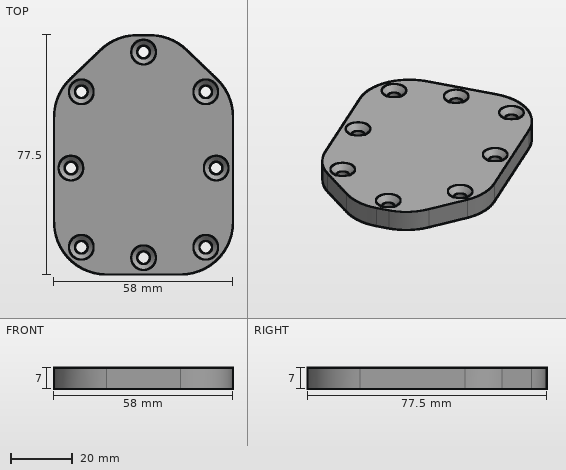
import cadquery as cq
import math

plate_thickness = 7.0
half_width = 29.0
bottom_y = -34.5
top_y = 43.05
corner_radius = 17.0

side_center_x = half_width - corner_radius
lower_center_y = bottom_y + corner_radius
upper_center_y = 16.55
top_center_x = 2.1
top_center_y = top_y - corner_radius

hole_diameter = 4.0
countersink_diameter = 8.0
countersink_angle = 90.0
edge_inset = 5.5

diagonal_offset = (corner_radius - edge_inset) * math.sin(math.radians(45.0))
corner_hole_x = side_center_x + diagonal_offset
lower_hole_y = lower_center_y - diagonal_offset
upper_hole_y = upper_center_y + diagonal_offset
side_hole_x = half_width - edge_inset


def point_on_rounding(center, angle):
    """Point on a rounding, at an angle in degrees counterclockwise from +X."""
    turn = math.radians(angle)
    return (
        center[0] + corner_radius * math.cos(turn),
        center[1] + corner_radius * math.sin(turn),
    )


def add_rounding(outline, center, start_angle, end_angle):
    """Run straight to the start of a rounding, then follow its arc."""
    middle_angle = (start_angle + end_angle) / 2
    return outline.lineTo(*point_on_rounding(center, start_angle)).threePointArc(
        point_on_rounding(center, middle_angle),
        point_on_rounding(center, end_angle),
    )


def make_plate():
    """Plate with rounded corners, narrowed at the top by two slanted edges near 45 degrees."""
    roundings = [
        ((side_center_x, lower_center_y), -90, 0),
        ((side_center_x, upper_center_y), 0, 45),
        ((top_center_x, top_center_y), 45, 90),
        ((-top_center_x, top_center_y), 90, 135),
        ((-side_center_x, upper_center_y), 135, 180),
        ((-side_center_x, lower_center_y), 180, 270),
    ]
    outline = cq.Workplane("XY").moveTo(-side_center_x, bottom_y)
    for center, start_angle, end_angle in roundings:
        outline = add_rounding(outline, center, start_angle, end_angle)
    return outline.close().extrude(plate_thickness)


def hole_centers():
    """One hole at each end of the center line, plus mirrored columns along the sides."""
    centers = [(0, top_y - edge_inset), (0, bottom_y + edge_inset)]
    for side in (-1, 1):
        centers.append((side * corner_hole_x, upper_hole_y))
        centers.append((side * side_hole_x, 0))
        centers.append((side * corner_hole_x, lower_hole_y))
    return centers


def add_screw_holes(plate):
    """Through holes countersunk from the top face."""
    top_face = plate.faces(">Z").workplane(origin=(0, 0, plate_thickness))
    return top_face.pushPoints(hole_centers()).cskHole(
        hole_diameter, countersink_diameter, countersink_angle
    )


result = add_screw_holes(make_plate())